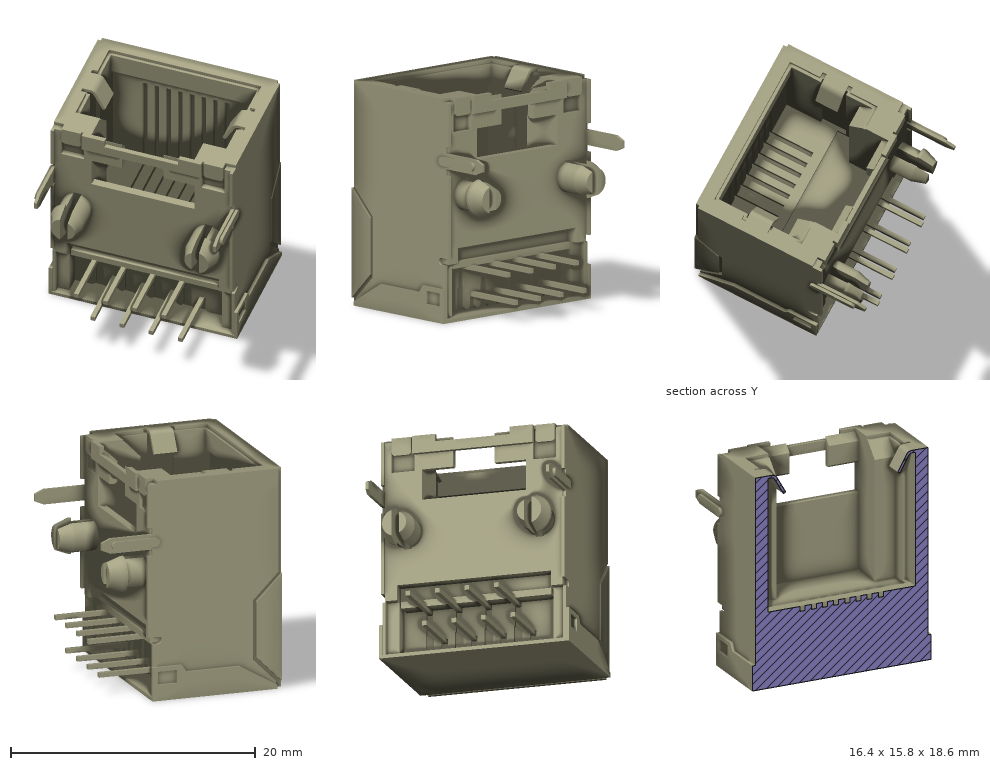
import cadquery as cq
import math


height = 18.64
shield_width = 15.8
cover_width = 16.37
sheet = 0.3
side_sheet = 0.26
rear = 11.72
half_shield = shield_width / 2
half_cover = cover_width / 2
half_body = half_shield - side_sheet
body_front = 0.3
body_top = height - sheet

cavity_half = 6.35
cavity_rear = 10.3
cavity_floor = 6.71
front_floor = 6.43
floor_step_y = 6.04
key_half = 4.47
key_top_y = 2.72
key_slope = 1.27
shoulder_rear = key_top_y + key_slope
front_wall_inner = 0.97
rear_recess = 0.45
rear_recess_top = 16.59
shield_gap = 0.26

contact_count = 8
contact_span = 7.12
contact_pitch = contact_span / (contact_count - 1)
slot_width = 0.41
slot_front = 6.9
slot_rear = 11.18
slot_top = 15.71
slot_floor_depth = 0.43
slot_floor = cavity_floor - slot_floor_depth

window_bottom = 13.23
window_top = 15.8
latch_half = 1.79
latch_back_y = 0.34
latch_slope = front_wall_inner - latch_back_y
latch_bevel = 0.19

lip_half = 5.18
lip_front = -0.07
lip_bottom = 17.15
lip_notch_half = 3.2
lip_notch_depth = 0.63
tab_inner = 5.35
tab_outer = 7.0
tab_front = 0.13
tab_corner = 0.28
corner_cut_y = 0.8
pocket_inner = 5.1
pocket_outer = 7.08
pocket_bottom = 15.77

spring_front = 5.4
spring_rear = 7.44
spring_tip_x = 5.09
spring_angle = math.radians(60)
spring_bend_radius = 0.55
spring_bend_x = 6.4
spring_pocket_half = 6.7
spring_pocket_margin = 0.15
relief_width = 0.37
relief_half = 7.08

leg_z = 13.5
leg_width = 1.27
leg_tip_y = -4.05
leg_taper = 0.78
leg_tip_width = 0.6
leg_relief = 0.55
leg_relief_depth = 0.41
bead_width = 0.75
bead_front = -3.17
bead_rear = 0.97
bead_height = 0.25

edge_step_z = 5.39
edge_step_y = 0.41
edge_slot_width = 0.62
edge_slot_depth = 1.21

post_x = 5.7
post_z = 10.48
post_radius = 1.29
flange_radius = 1.58
flange_rear = -1.47
flange_front = -1.73
post_tip = -2.93
post_tip_radius = 0.93
barb_tip_radius = 1.14
post_embed = 0.19
post_slit = 0.67
post_slit_height = 2.72

chamber_half = 6.62
chamber_top = 6.11
chamber_depth_y = 2.3
ledge_depth_y = 1.4
foot_top = 4.85
foot_front = 0.97
bar_half = 6.45
bar_bottom = 4.29
bar_front = 0.91

pins_per_row = 4
pin_pitch = 2.54
pin_size = 0.4
pin_root = 2.85
upper_pin_z = 4.14
lower_pin_z = upper_pin_z - pin_pitch
upper_pin_tip = -3.49
lower_pin_tip = -3.02
groove_depth = 0.22
groove_half = 0.28
wide_groove_half = 0.35
wide_groove_top = 2.3
lower_groove_top = 1.75
groove_flare = 0.3
flare_bottom = 0.35

cover_front = 0.32
cover_rear = 11.2
cover_ramp_front = 7.95
cover_step_rear = 3.3
cover_step_front = 2.89
cover_low_top = 2.24
cover_high_top = 2.85
rear_gap_front = 11.4
rear_gap_top = 0.34
flap_top = 9.71
flap_bottom = 0.54
flap_front = 9.5
flap_slope = rear - flap_front
flap_gap = 0.34
cover_window_y = (0.78, 2.46)
cover_window_z = (1.36, 2.48)


def block(x, y, z):
    """Box spanning the three given (low, high) ranges."""
    return cq.Workplane("XY").box(x[1] - x[0], y[1] - y[0], z[1] - z[0], centered=False).translate(
        (x[0], y[0], z[0])
    )


def center_block(half, y, z):
    """Box symmetric about X = 0."""
    return block((-half, half), y, z)


def both_sides(shape):
    """The shape together with its mirror image across X = 0."""
    return shape.union(shape.mirror("YZ"))


def side_plate(points, x):
    """Plate drawn as (Y, Z) points and spanning the X range."""
    return cq.Workplane("YZ").polyline(points).close().extrude(x[1] - x[0]).translate((x[0], 0, 0))


def make_body():
    body = center_block(half_body, (body_front, rear_gap_front), (sheet, body_top))
    body = body.union(center_block(half_body, (corner_cut_y, rear), (body_top, height)))
    front_strip = center_block(tab_outer, (tab_front, corner_cut_y), (body_top, height))
    rear_sheet = center_block(half_body, (rear_gap_front, rear), (0, height))
    return body.union(front_strip).union(rear_sheet)


def make_side():
    """Shield side at +X, with the leg reliefs and the slot in its front edge."""
    side_rear = flap_front - flap_gap
    corner_shift = flap_gap * math.tan(math.radians(45 / 2))
    upper_corner = flap_top - flap_slope + corner_shift
    lower_corner = flap_bottom + flap_slope - corner_shift
    outline = [
        (0, body_top),
        (corner_cut_y, body_top),
        (corner_cut_y, height),
        (rear_gap_front, height),
        (rear_gap_front, upper_corner + rear_gap_front - side_rear),
        (side_rear, upper_corner),
        (side_rear, lower_corner),
        (cover_rear, lower_corner - (cover_rear - side_rear)),
        (cover_rear, sheet),
        (edge_step_y, sheet),
        (edge_step_y, edge_step_z),
        (0, edge_step_z),
    ]
    side = side_plate(outline, (half_body, half_shield))
    for z in (leg_z + (leg_width + leg_relief) / 2, leg_z - (leg_width + leg_relief) / 2):
        z_range = (z - leg_relief / 2, z + leg_relief / 2)
        side = side.cut(block((half_body, half_shield), (0, leg_relief_depth), z_range))
    slot_z = edge_step_z - edge_slot_width / 2
    edge_slot = (
        cq.Workplane("YZ")
        .center(0, slot_z)
        .slot2D(2 * edge_slot_depth, edge_slot_width)
        .extrude(half_shield)
        .intersect(block((half_body, half_shield), (0, edge_slot_depth), (0, height)))
    )
    return side.cut(edge_slot)


def make_leg():
    half = leg_width / 2
    tip_half = leg_tip_width / 2
    leg = side_plate(
        [
            (leg_relief_depth, leg_z + half),
            (leg_tip_y + leg_taper, leg_z + half),
            (leg_tip_y, leg_z + tip_half),
            (leg_tip_y, leg_z - tip_half),
            (leg_tip_y + leg_taper, leg_z - half),
            (leg_relief_depth, leg_z - half),
        ],
        (half_body, half_shield),
    )
    bead = (
        cq.Workplane("YZ")
        .workplane(offset=half_body)
        .center((bead_front + bead_rear) / 2, leg_z)
        .slot2D(bead_rear - bead_front, bead_width)
        .extrude(side_sheet + bead_height)
    )
    return leg.union(bead)


def make_rear_flap():
    outline = [
        (rear, flap_top),
        (flap_front, flap_top - flap_slope),
        (flap_front, flap_bottom + flap_slope),
        (rear, flap_bottom),
    ]
    return side_plate(outline, (half_body, half_shield))


def make_cover_flap():
    """Side of the bottom cover, with its rectangular window."""
    outline = [
        (cover_front, 0),
        (cover_rear, 0),
        (cover_rear, rear_gap_top),
        (cover_ramp_front, cover_low_top),
        (cover_step_rear, cover_low_top),
        (cover_step_front, cover_high_top),
        (cover_front, cover_high_top),
    ]
    x_range = (half_shield, half_cover)
    return side_plate(outline, x_range).cut(block(x_range, cover_window_y, cover_window_z))


def make_plug_cavity():
    cavity = center_block(cavity_half, (shoulder_rear, cavity_rear), (cavity_floor, height))
    cavity = cavity.union(center_block(key_half, (front_wall_inner, shoulder_rear), (cavity_floor, height)))
    cavity = cavity.union(
        center_block(key_half, (front_wall_inner, floor_step_y), (front_floor, cavity_floor))
    )
    cavity = cavity.union(
        center_block(cavity_half, (shoulder_rear, floor_step_y), (front_floor, cavity_floor))
    )
    key_wedge = side_plate(
        [(key_top_y, body_top), (shoulder_rear, body_top - key_slope), (shoulder_rear, body_top)],
        (-cavity_half, cavity_half),
    )
    cavity = cavity.union(key_wedge)
    recess_y = (cavity_rear, cavity_rear + rear_recess)
    cavity = cavity.union(center_block(cavity_half, recess_y, (cavity_floor, rear_recess_top)))
    pocket_y = (spring_front - spring_pocket_margin, spring_rear + spring_pocket_margin)
    cavity = cavity.union(center_block(spring_pocket_half, pocket_y, (cavity_floor, height)))
    for index in range(contact_count):
        x = (index - (contact_count - 1) / 2) * contact_pitch
        x_range = (x - slot_width / 2, x + slot_width / 2)
        cavity = cavity.union(block(x_range, (slot_front, slot_rear), (slot_floor, slot_top)))
    return cavity


def make_shield_opening():
    """Opening in the top sheet, with the relief slits beside each spring."""
    half = cavity_half + shield_gap
    y_range = (key_top_y - shield_gap, cavity_rear + shield_gap)
    opening = center_block(half, y_range, (body_top, height))
    for y in (spring_front - relief_width, spring_rear):
        opening = opening.union(center_block(relief_half, (y, y + relief_width), (body_top, height)))
    return opening


def make_latch_window():
    """Front wall opening that leaves a sloped catch on each side."""
    wall = (0, front_wall_inner)
    catch_profile = side_plate(
        [
            (0, window_top),
            (front_wall_inner - latch_bevel, window_top),
            (front_wall_inner, window_top + latch_bevel),
            (front_wall_inner, body_top - latch_slope),
            (latch_back_y, body_top),
            (0, body_top),
        ],
        (latch_half, key_half),
    )
    window = center_block(key_half, wall, (window_bottom, height))
    return window.cut(both_sides(catch_profile))


def make_lip():
    lip = center_block(lip_half, (lip_front, latch_back_y), (lip_bottom, height))
    notch_z = (height - lip_notch_depth, height)
    return lip.cut(center_block(lip_notch_half, (lip_front, latch_back_y), notch_z))


def make_folded_tab():
    tab = block((tab_inner, tab_outer), (tab_front, tab_front + side_sheet), (lip_bottom, height))
    return tab.edges("|Y and <Z").fillet(tab_corner)


def make_spring():
    """Bent leaf that leans from the top sheet into the cavity."""
    inner_radius = spring_bend_radius - side_sheet
    center_z = height - spring_bend_radius

    def bend_point(radius, angle):
        return (spring_bend_x - radius * math.sin(angle), center_z + radius * math.cos(angle))

    outer_end = bend_point(spring_bend_radius, spring_angle)
    inner_end = bend_point(inner_radius, spring_angle)
    run = outer_end[0] - spring_tip_x
    drop = run * math.tan(spring_angle)
    return (
        cq.Workplane("XZ", origin=(0, spring_rear, 0))
        .moveTo(relief_half, height)
        .lineTo(spring_bend_x, height)
        .threePointArc(bend_point(spring_bend_radius, spring_angle / 2), outer_end)
        .line(-run, -drop)
        .lineTo(inner_end[0] - run, inner_end[1] - drop)
        .lineTo(*inner_end)
        .threePointArc(bend_point(inner_radius, spring_angle / 2), bend_point(inner_radius, 0))
        .lineTo(relief_half, center_z + inner_radius)
        .close()
        .extrude(spring_rear - spring_front)
    )


def revolved_post(profile):
    """Solid of revolution about the post axis from (radius, Y) points."""
    post = cq.Workplane("XY").polyline(profile).close().revolve(360, (0, 0, 0), (0, 1, 0))
    return post.translate((post_x, 0, post_z))


def make_post():
    """Split post: plain inner half, barbed outer half."""
    root = body_front + post_embed
    plain = revolved_post(
        [
            (0, root),
            (post_radius, root),
            (post_radius, flange_front),
            (post_tip_radius, post_tip),
            (0, post_tip),
        ]
    )
    barbed = revolved_post(
        [
            (0, root),
            (post_radius, root),
            (post_radius, flange_rear),
            (flange_radius, flange_rear),
            (flange_radius, flange_front),
            (barb_tip_radius, post_tip),
            (0, post_tip),
        ]
    )
    y_range = (post_tip, root)
    inner_half = plain.intersect(block((0, post_x), y_range, (0, height)))
    outer_half = barbed.intersect(block((post_x, half_cover), y_range, (0, height)))
    return inner_half.union(outer_half)


def make_post_slit():
    half = post_slit / 2
    z_range = (post_z - post_slit_height / 2, post_z + post_slit_height / 2)
    full_z = (post_z - flange_radius, post_z + flange_radius)
    slit = block((post_x - half, post_x + half), (post_tip, body_front), full_z)
    root = (
        cq.Workplane("XY")
        .center(post_x, body_front)
        .circle(half)
        .extrude(post_slit_height)
        .translate((0, 0, z_range[0]))
    )
    return slit.union(root)


def make_chamber():
    chamber = center_block(chamber_half, (0, chamber_depth_y), (sheet, foot_top))
    ledge = center_block(chamber_half, (0, ledge_depth_y), (foot_top, chamber_top))
    foot_relief = center_block(half_body, (0, foot_front), (sheet, foot_top))
    bar = center_block(bar_half, (bar_front, chamber_depth_y), (bar_bottom, foot_top))
    return chamber.union(ledge).union(foot_relief).cut(bar)


def make_groove(x, half, top):
    """Vertical groove whose lower end flares out in quarter rounds."""
    bulge = groove_flare * (1 - math.sqrt(0.5))
    low = flare_bottom
    return (
        cq.Workplane("XZ", origin=(x, chamber_depth_y + groove_depth, 0))
        .moveTo(-half, top)
        .lineTo(half, top)
        .lineTo(half, low + groove_flare)
        .threePointArc((half + bulge, low + bulge), (half + groove_flare, low))
        .lineTo(half + groove_flare, sheet)
        .lineTo(-half - groove_flare, sheet)
        .lineTo(-half - groove_flare, low)
        .threePointArc((-half - bulge, low + bulge), (-half, low + groove_flare))
        .close()
        .extrude(groove_depth)
    )


def make_pin(x, z, tip):
    half = pin_size / 2
    return block((x - half, x + half), (tip, pin_root), (z - half, z + half))


def row_positions(shift):
    """X of each pin in a row moved sideways by the shift."""
    return [(index - (pins_per_row - 1) / 2) * pin_pitch + shift for index in range(pins_per_row)]


result = make_body().union(both_sides(make_side()))
result = result.cut(make_plug_cavity()).cut(make_shield_opening()).cut(make_latch_window())
neck = center_block(key_half, (latch_back_y, key_top_y), (body_top, height))
result = result.cut(neck)
tab_pocket = block((pocket_inner, pocket_outer), (0, corner_cut_y), (pocket_bottom, body_top))
result = result.cut(both_sides(tab_pocket)).cut(make_chamber())

result = result.union(make_lip())
for detail in (make_folded_tab(), make_spring(), make_leg(), make_rear_flap(), make_cover_flap()):
    result = result.union(both_sides(detail))
tab_slit = block((lip_half, tab_inner), (lip_front, latch_back_y), (lip_bottom, height))
result = result.cut(both_sides(tab_slit))
result = result.union(center_block(half_shield, (cover_front, cover_rear), (0, sheet)))

result = result.union(both_sides(make_post())).cut(both_sides(make_post_slit()))

stagger = pin_pitch / 4
for x in row_positions(-stagger):
    result = result.cut(make_groove(x, groove_half, bar_bottom))
    result = result.cut(make_groove(x, wide_groove_half, wide_groove_top))
    result = result.union(make_pin(x, upper_pin_z, upper_pin_tip))
for x in row_positions(stagger):
    result = result.cut(make_groove(x, groove_half, lower_groove_top))
    result = result.union(make_pin(x, lower_pin_z, lower_pin_tip))